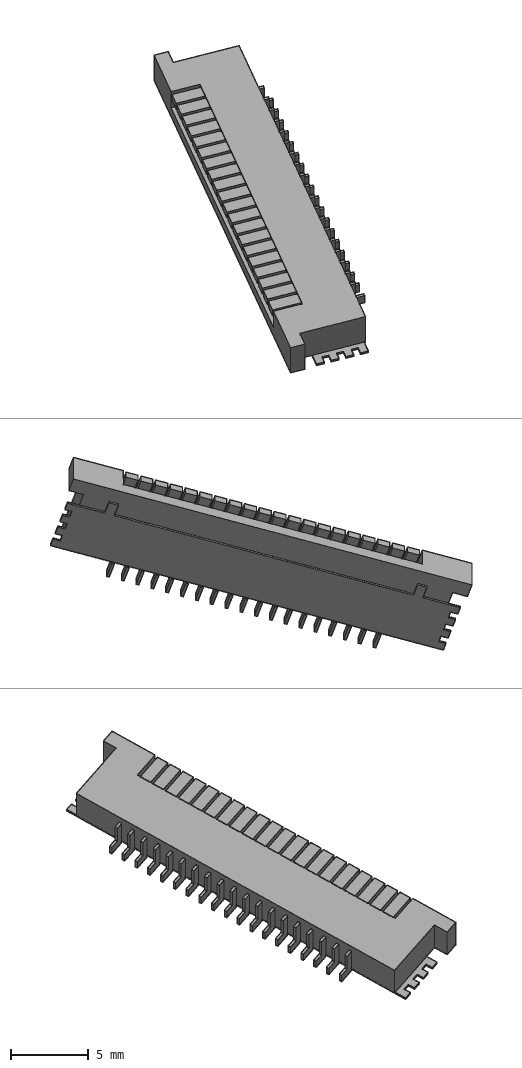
import cadquery as cq

total_length = 26.92
total_depth = 6.55
total_height = 2.55

contact_count = 19
contact_width = 0.2
tooth_count = contact_count + 1
tooth_row_length = 20.0
pitch = tooth_row_length / tooth_count

base_thickness = 0.15
housing_length = 24.93
housing_depth = 5.45
ear_depth = 0.97

tooth_width = pitch - contact_width
opening_length = tooth_row_length + contact_width
opening_height = 1.53
opening_depth = 0.97
tooth_row_depth = 1.97
tooth_top_drop = 0.08
tooth_bottom_drop = 0.65

tail_riser_depth = 0.48
tail_riser_height = 2.05
tail_foot_height = 0.67

plate_length = 26.55
plate_depth = 3.53
plate_back_inset = 0.08
finger_count = 4
finger_pitch = 1.0
finger_length = 0.48
finger_gap = finger_count * finger_pitch - plate_depth
prong_width = 0.65
prong_front = ear_depth


def block(x_range, y_range, z_range):
    """Rectangular block between the given limits on each axis."""
    x_min, x_max = x_range
    y_min, y_max = y_range
    z_min, z_max = z_range
    size = (x_max - x_min, y_max - y_min, z_max - z_min)
    return cq.Workplane("XY").box(*size, centered=False).translate((x_min, y_min, z_min))


def centered_block(x_center, width, y_range, z_range):
    """Rectangular block placed by its middle in x."""
    return block((x_center - width / 2, x_center + width / 2), y_range, z_range)


def grid_positions(count):
    """Centres of a row of items at the contact pitch, symmetric about x = 0."""
    return [(i - (count - 1) / 2) * pitch for i in range(count)]


def make_housing():
    """Main block with front ears and the front opening below the teeth."""
    z_range = (base_thickness, total_height)
    main_block = centered_block(0, housing_length, (0, housing_depth), z_range)
    ears = centered_block(0, total_length, (0, ear_depth), z_range)
    opening = centered_block(
        0, opening_length, (0, opening_depth), (total_height - opening_height, total_height)
    )
    return main_block.union(ears).cut(opening)


def add_teeth(body):
    """Replace a trough along the top front edge with a row of evenly spaced teeth."""
    tooth_top = total_height - tooth_top_drop
    tooth_bottom = total_height - tooth_bottom_drop
    trough = centered_block(0, opening_length, (0, tooth_row_depth), (tooth_bottom, total_height))
    body = body.cut(trough)
    for x in grid_positions(tooth_count):
        body = body.union(centered_block(x, tooth_width, (0, tooth_row_depth), (tooth_bottom, tooth_top)))
    return body


def make_contact_tail(x):
    """L-shaped tail: a tall riser against the housing and a low foot behind it."""
    riser_back = housing_depth + tail_riser_depth
    riser = centered_block(x, contact_width, (housing_depth, riser_back), (0, tail_riser_height))
    foot = centered_block(x, contact_width, (housing_depth, total_depth), (0, tail_foot_height))
    return riser.union(foot)


def make_solder_plate():
    """Thin plate with comb fingers at both ends and two prongs reaching forward."""
    z_range = (0, base_thickness)
    back = housing_depth - plate_back_inset
    front = back - plate_depth
    plate = centered_block(0, plate_length, (front, back), z_range)
    plate_end = plate_length / 2
    for side in (-1, 1):
        for i in range(finger_count - 1):
            gap_front = front + (i + 1) * finger_pitch - finger_gap
            notch = centered_block(
                side * (plate_end - finger_length / 2),
                finger_length,
                (gap_front, gap_front + finger_gap),
                z_range,
            )
            plate = plate.cut(notch)
        prong_center = side * (opening_length + prong_width) / 2
        plate = plate.union(centered_block(prong_center, prong_width, (prong_front, front), z_range))
    return plate


result = add_teeth(make_housing()).union(make_solder_plate())
for tail_x in grid_positions(contact_count):
    result = result.union(make_contact_tail(tail_x))